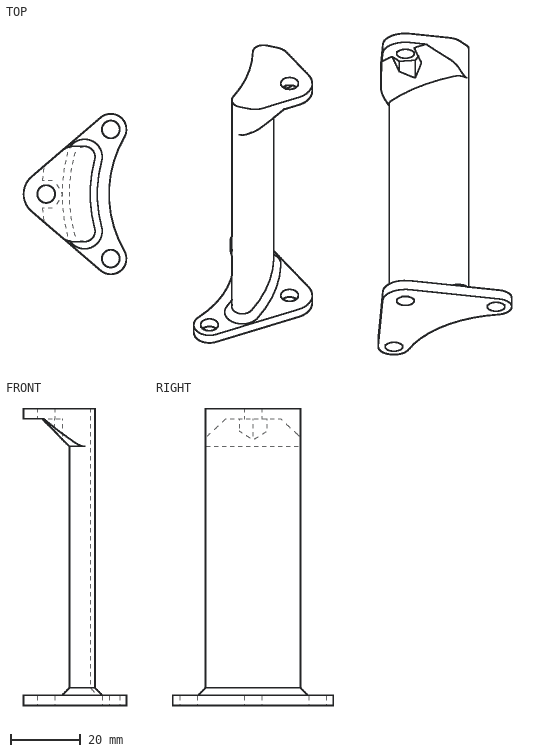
import cadquery as cq
import math

height = 85
length = 29.5
width = 46.0
ear_radius = 4.5
hole_diameter = 5.0
plate_thickness = 3.0
base_waist = 18.0
blade_front_x = 6.55
blade_thickness = 6.0
blade_width = 27.3
foot_height = 2.0
bracket_depth = 10.8
shoulder_radius = 5.1
nut_across_flats = 8.0

ear_offset = width / 2 - ear_radius
nose_radius = length - ear_offset - ear_radius
hole_spacing = math.hypot(ear_offset, ear_offset)
flank_normal = math.radians(135) - math.asin((nose_radius - ear_radius) / hole_spacing)
normal_x = math.cos(flank_normal)
normal_y = math.sin(flank_normal)

waist_gap = base_waist - ear_offset
waist_radius = (ear_offset**2 + waist_gap**2 - ear_radius**2) / (2 * (ear_radius - waist_gap))
curve_center_x = base_waist + waist_radius

end_radius = blade_thickness / 2
outer_radius = curve_center_x - blade_front_x
middle_radius = outer_radius - end_radius
inner_radius = outer_radius - blade_thickness
end_y = blade_width / 2 - end_radius
end_angle = math.asin(end_y / middle_radius)
end_x = curve_center_x - middle_radius * math.cos(end_angle)


def curve_point(radius, angle):
    """Point on an arc about the shared center of curvature."""
    return (curve_center_x - radius * math.cos(angle), radius * math.sin(angle))


def mirrored(point):
    return (point[0], -point[1])


def base_outline():
    nose_tangent = (nose_radius * normal_x, nose_radius * normal_y)
    ear_flank = (ear_offset + ear_radius * normal_x, ear_offset + ear_radius * normal_y)
    ear_tip = (ear_offset + ear_radius, ear_offset)
    waist_angle = math.asin(ear_offset / (waist_radius + ear_radius))
    ear_inner = curve_point(waist_radius, waist_angle)
    return (
        cq.Workplane("XY")
        .moveTo(*mirrored(nose_tangent))
        .threePointArc((-nose_radius, 0), nose_tangent)
        .lineTo(*ear_flank)
        .threePointArc(ear_tip, ear_inner)
        .threePointArc((base_waist, 0), mirrored(ear_inner))
        .threePointArc(mirrored(ear_tip), mirrored(ear_flank))
        .close()
    )


def blade_outline(z, growth=0):
    """Curved slot at height z, grown outward by the given distance."""
    outer = curve_point(outer_radius + growth, end_angle)
    inner = curve_point(inner_radius - growth, end_angle)
    grown_end = end_radius + growth
    tip = (end_x + grown_end * math.sin(end_angle), end_y + grown_end * math.cos(end_angle))
    outer_middle = curve_point(outer_radius + growth, 0)
    inner_middle = curve_point(inner_radius - growth, 0)
    return (
        cq.Workplane("XY", origin=(0, 0, z))
        .moveTo(*mirrored(outer))
        .threePointArc(outer_middle, outer)
        .threePointArc(tip, inner)
        .threePointArc(inner_middle, mirrored(inner))
        .threePointArc(mirrored(tip), mirrored(outer))
        .close()
    )


def blade_flare(narrow_z, wide_z):
    """45-degree flare from the blade section out to a grown section."""
    narrow = blade_outline(narrow_z).wire().val()
    wide = blade_outline(wide_z, abs(wide_z - narrow_z)).wire().val()
    return cq.Workplane(cq.Solid.makeLoft([narrow, wide], True))


def head_outline(z):
    """Nose and flanks of the base, rounded into the full width of the blade."""
    side_y = blade_width / 2
    nose_tangent = (nose_radius * normal_x, nose_radius * normal_y)
    round_y = side_y - shoulder_radius
    round_x = (nose_radius - shoulder_radius - round_y * normal_y) / normal_x
    round_start = (round_x + shoulder_radius * normal_x, round_y + shoulder_radius * normal_y)
    round_end = (round_x, side_y)
    middle_angle = (flank_normal + math.pi / 2) / 2
    round_middle = (
        round_x + shoulder_radius * math.cos(middle_angle),
        round_y + shoulder_radius * math.sin(middle_angle),
    )
    blade_side = (end_x, side_y)
    blade_tip = (end_x + end_radius * math.sqrt(0.5), end_y + end_radius * math.sqrt(0.5))
    inner = curve_point(inner_radius, end_angle)
    return (
        cq.Workplane("XY", origin=(0, 0, z))
        .moveTo(*mirrored(nose_tangent))
        .threePointArc((-nose_radius, 0), nose_tangent)
        .lineTo(*round_start)
        .threePointArc(round_middle, round_end)
        .lineTo(*blade_side)
        .threePointArc(blade_tip, inner)
        .threePointArc((blade_front_x + blade_thickness, 0), mirrored(inner))
        .threePointArc(mirrored(blade_tip), mirrored(blade_side))
        .lineTo(*mirrored(round_end))
        .threePointArc(mirrored(round_middle), mirrored(round_start))
        .close()
    )


base = base_outline().extrude(plate_thickness)
blade = blade_outline(0).extrude(height)

foot_top = plate_thickness + foot_height
foot = blade_flare(foot_top, plate_thickness)
foot = foot.intersect(base_outline().extrude(foot_top))

bracket_bottom = height - bracket_depth
flare_height = bracket_depth - plate_thickness
head_bottom = height - plate_thickness
head = head_outline(head_bottom).extrude(plate_thickness)
bracket = blade_flare(bracket_bottom, head_bottom)
bracket = bracket.intersect(head_outline(bracket_bottom).extrude(flare_height))

nut_across_corners = nut_across_flats / math.cos(math.pi / 6)
nut_pocket = (
    cq.Workplane("XY", origin=(0, 0, bracket_bottom))
    .polygon(6, nut_across_corners)
    .extrude(flare_height)
)
bracket = bracket.cut(nut_pocket)

hole_positions = [(0, 0), (ear_offset, ear_offset), (ear_offset, -ear_offset)]
holes = cq.Workplane("XY").pushPoints(hole_positions).circle(hole_diameter / 2).extrude(height)

result = base.union(blade).union(foot).union(bracket).union(head).cut(holes)